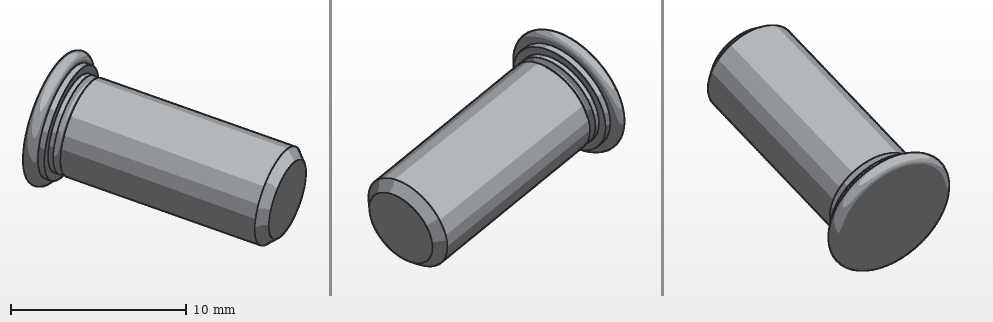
import cadquery as cq
import math

total_length = 15.0

head_radius = 4.1
head_thickness = 0.83
rim_radius = head_thickness / 2

collar_radius = 3.5
collar_end = 1.23

shank_radius = 3.0
tip_chamfer = 0.6

groove_center = 1.78
groove_depth = 0.3
groove_half_angle = math.radians(30)
groove_bottom_radius = 0.1


def revolve_about_x(profile):
    """Turn a closed profile (x along the axis, y as radius) about the X axis."""
    return profile.close().revolve(360, (0, 0, 0), (1, 0, 0))


def make_head():
    profile = (
        cq.Workplane("XY")
        .lineTo(0, head_radius - rim_radius)
        .threePointArc((rim_radius, head_radius), (head_thickness, head_radius - rim_radius))
        .lineTo(head_thickness, 0)
    )
    return revolve_about_x(profile)


def make_collar_and_shank():
    profile = (
        cq.Workplane("XY")
        .moveTo(head_thickness, 0)
        .lineTo(head_thickness, collar_radius)
        .lineTo(collar_end, collar_radius)
        .lineTo(collar_end, shank_radius)
        .lineTo(total_length - tip_chamfer, shank_radius)
        .lineTo(total_length, shank_radius - tip_chamfer)
        .lineTo(total_length, 0)
    )
    return revolve_about_x(profile)


def make_groove_cutter():
    floor_radius = shank_radius - groove_depth
    tangent_offset = groove_bottom_radius * math.cos(groove_half_angle)
    tangent_radius = floor_radius + groove_bottom_radius * (1 - math.sin(groove_half_angle))
    flank_spread = (shank_radius - tangent_radius) * math.tan(groove_half_angle)
    half_width = tangent_offset + flank_spread
    profile = (
        cq.Workplane("XY")
        .moveTo(groove_center - half_width, shank_radius)
        .lineTo(groove_center - tangent_offset, tangent_radius)
        .threePointArc(
            (groove_center, floor_radius),
            (groove_center + tangent_offset, tangent_radius),
        )
        .lineTo(groove_center + half_width, shank_radius)
    )
    return revolve_about_x(profile)


result = make_head().union(make_collar_and_shank()).cut(make_groove_cutter())